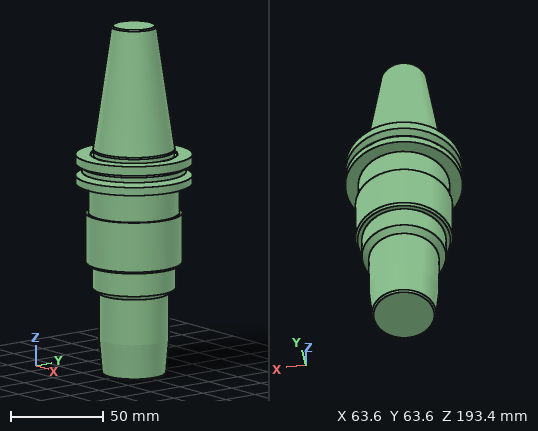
import cadquery as cq

total_height = 193.4

gauge_radius = 22.2
taper_per_length = 7 / 48
taper_bottom = 125.0
end_chamfer = 0.8

relief_radius = 21.9
relief_top = 123.8
recess_radius = 23.5
recess_depth = 1.0

flange_radius = 31.81
flange_top = 122.0
flange_bottom = 106.0
groove_radius = 28.2
groove_top = 117.0
groove_bottom = 110.5
groove_flank = 2.0

neck_radius = 24.8
sleeve_radius = 26.3
sleeve_top = 89.5
sleeve_bottom = 62.3
sleeve_chamfer = 1.2
collar_radius = 22.8
collar_bottom = 48.0
collar_cone_height = 2.7

nose_radius = 19.05
nose_taper_top = 20.1
nose_end_radius = 17.5
nose_end_chamfer = 1.0


def turned(points):
    """Revolve a (radius, height) outline about the Z axis."""
    return cq.Workplane("XZ").polyline(points).close().revolve(360, (0, 0), (0, 1))


def make_shank():
    taper_top = total_height - end_chamfer
    taper_top_radius = gauge_radius - taper_per_length * (taper_top - taper_bottom)
    floor = flange_top - recess_depth
    return turned([
        (0, floor),
        (relief_radius, floor),
        (relief_radius, relief_top),
        (gauge_radius, taper_bottom),
        (taper_top_radius, taper_top),
        (taper_top_radius - end_chamfer, total_height),
        (0, total_height),
    ])


def make_flange():
    floor = flange_top - recess_depth
    return turned([
        (0, flange_bottom),
        (flange_radius, flange_bottom),
        (flange_radius, groove_bottom),
        (groove_radius, groove_bottom + groove_flank),
        (groove_radius, groove_top - groove_flank),
        (flange_radius, groove_top),
        (flange_radius, flange_top),
        (recess_radius, flange_top),
        (recess_radius, floor),
        (0, floor),
    ])


def make_body():
    cone_bottom = collar_bottom - collar_cone_height
    return turned([
        (0, nose_taper_top),
        (nose_radius, nose_taper_top),
        (nose_radius, cone_bottom),
        (collar_radius, collar_bottom),
        (collar_radius, sleeve_bottom - sleeve_chamfer),
        (sleeve_radius - sleeve_chamfer, sleeve_bottom - sleeve_chamfer),
        (sleeve_radius, sleeve_bottom),
        (sleeve_radius, sleeve_top),
        (neck_radius, sleeve_top),
        (neck_radius, flange_bottom),
        (0, flange_bottom),
    ])


def make_nose():
    return turned([
        (0, 0),
        (nose_end_radius - nose_end_chamfer, 0),
        (nose_end_radius, nose_end_chamfer),
        (nose_radius, nose_taper_top),
        (0, nose_taper_top),
    ])


result = make_nose().union(make_body()).union(make_flange()).union(make_shank())